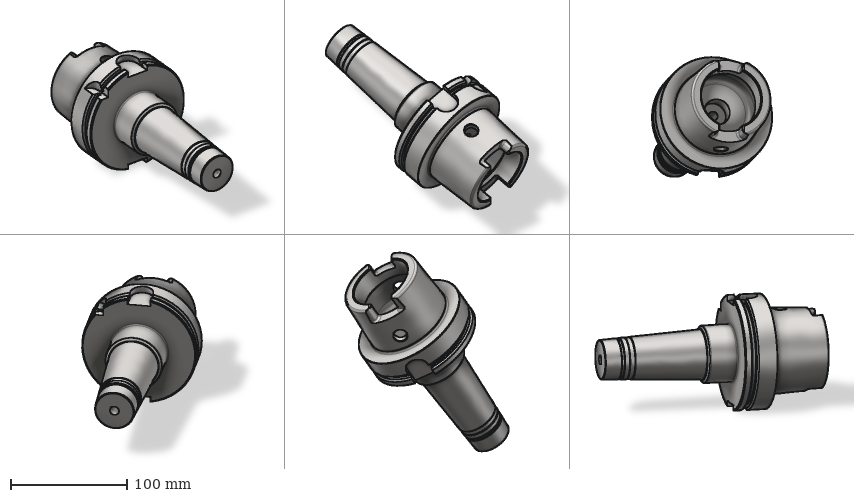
import cadquery as cq
import math


length = 195.0
flange_start = 50.1
flange_end = 79.0
collar_edge_start = 102.5
collar_end = 105.0
nose_start = 105.5

taper_base_radius = 37.8
taper_slope = 0.05
shank_edge_radius = 2.0
relief_start = 47.5
relief_radius = 37.5
relief_ramp = 0.5
relief_fillet_radius = 1.4

flange_radius = 100.0 / 2
front_rim_chamfer = 0.4
back_rim_chamfer = 1.0
groove_start = 66.7
groove_end = 73.1
groove_shoulder_radius = 48.2
groove_shoulder_start = 68.0
groove_shoulder_end = 71.8
groove_radius = 45.8
groove_floor_start = 68.5
groove_floor_end = 71.4

collar_radius = 50.0 / 2
collar_edge_radius = 1.5
collar_shoulder_radius = 22.2
collar_edge_angle = math.radians(40)
collar_root_radius = 1.0
nose_base_radius = 21.8
nose_slope = math.tan(math.radians(3))
nose_chamfer = 0.5
ring_groove_depth = 0.3
ring_groove_flank = 0.5
ring_grooves = [(168.0, 173.4), (177.5, 180.5)]

mouth_radius = 53.0 / 2
mouth_chamfer = 1.0
mouth_depth = 19.0
undercut_radius = 63.0 / 2
undercut_angle = math.radians(60)
undercut_end = 40.4
cavity_floor_radius = 50.0 / 2
cavity_fillet_radius = undercut_radius - cavity_floor_radius
cavity_depth = undercut_end + cavity_fillet_radius
coolant_diameter = 22.5
coolant_depth = 13.6
through_diameter = 8.0

radial_hole_diameter = 12.0
radial_hole_x = 35.0
radial_hole_chamfer = 0.4

slot_half_width = 20.0 / 2
slot_flare_radius = 4.9
slot_land_height = 32.0
slot_floor_radius = 2.0
slot_mouth_chamfer = 1.4
selection_margin = 0.2
upper_slot_depth = 10.1
lower_slot_depth = 14.8

keyway_radius = slot_half_width
keyway_centre_x = 65.0
keyway_floor = 43.9
notch_wall = 31.2
notch_floor = 31.2


def taper_radius(x):
    return taper_base_radius - taper_slope * (relief_start - x)


def nose_radius(x):
    return nose_base_radius - nose_slope * (x - nose_start)


def arc_bend(radius):
    """Distance from the midpoint of a quarter arc to each of its two tangent sides."""
    return radius * (1 - math.sqrt(0.5))


def revolve(profile):
    return profile.close().revolve(360, (0, 0, 0), (1, 0, 0))


def cylinder(diameter, start, end):
    return cq.Workplane("YZ", origin=(start, 0, 0)).circle(diameter / 2).extrude(end - start)


def make_shank():
    fillet_bend = arc_bend(relief_fillet_radius)
    profile = (
        cq.Workplane("XY")
        .lineTo(0, taper_radius(0))
        .lineTo(relief_start, taper_base_radius)
        .lineTo(relief_start + relief_ramp, relief_radius)
        .lineTo(flange_start - relief_fillet_radius, relief_radius)
        .threePointArc(
            (flange_start - fillet_bend, relief_radius + fillet_bend),
            (flange_start, relief_radius + relief_fillet_radius),
        )
        .lineTo(flange_start, 0)
    )
    return revolve(profile).faces("<X").edges().fillet(shank_edge_radius)


def make_flange():
    profile = (
        cq.Workplane("XY")
        .moveTo(flange_start, 0)
        .lineTo(flange_start, flange_radius - front_rim_chamfer)
        .lineTo(flange_start + front_rim_chamfer, flange_radius)
        .lineTo(groove_start, flange_radius)
        .lineTo(groove_shoulder_start, groove_shoulder_radius)
        .lineTo(groove_floor_start, groove_radius)
        .lineTo(groove_floor_end, groove_radius)
        .lineTo(groove_shoulder_end, groove_shoulder_radius)
        .lineTo(groove_end, flange_radius)
        .lineTo(flange_end - back_rim_chamfer, flange_radius)
        .lineTo(flange_end, flange_radius - back_rim_chamfer)
        .lineTo(flange_end, 0)
    )
    return revolve(profile)


def make_collar_and_nose():
    def edge_point(angle):
        return (
            collar_edge_start + collar_edge_radius * math.sin(angle),
            collar_radius - collar_edge_radius * (1 - math.cos(angle)),
        )

    root_bend = arc_bend(collar_root_radius)
    profile = (
        cq.Workplane("XY")
        .moveTo(flange_end, 0)
        .lineTo(flange_end, collar_radius + collar_root_radius)
        .threePointArc(
            (flange_end + root_bend, collar_radius + root_bend),
            (flange_end + collar_root_radius, collar_radius),
        )
        .lineTo(collar_edge_start, collar_radius)
        .threePointArc(edge_point(collar_edge_angle / 2), edge_point(collar_edge_angle))
        .lineTo(collar_end, collar_shoulder_radius)
        .lineTo(nose_start, nose_base_radius)
    )
    for start, end in ring_grooves:
        floor_start = start + ring_groove_flank
        floor_end = end - ring_groove_flank
        profile = (
            profile.lineTo(start, nose_radius(start))
            .lineTo(floor_start, nose_radius(floor_start) - ring_groove_depth)
            .lineTo(floor_end, nose_radius(floor_end) - ring_groove_depth)
            .lineTo(end, nose_radius(end))
        )
    profile = (
        profile.lineTo(length - nose_chamfer, nose_radius(length - nose_chamfer))
        .lineTo(length, nose_radius(length) - nose_chamfer)
        .lineTo(length, 0)
    )
    return revolve(profile)


def make_cavity():
    undercut_step = undercut_radius - mouth_radius
    undercut_start = mouth_depth + undercut_step / math.tan(undercut_angle)
    fillet_bend = arc_bend(cavity_fillet_radius)
    profile = (
        cq.Workplane("XY")
        .lineTo(0, mouth_radius + mouth_chamfer)
        .lineTo(mouth_chamfer, mouth_radius)
        .lineTo(mouth_depth, mouth_radius)
        .lineTo(undercut_start, undercut_radius)
        .lineTo(undercut_end, undercut_radius)
        .threePointArc(
            (cavity_depth - fillet_bend, undercut_radius - fillet_bend),
            (cavity_depth, cavity_floor_radius),
        )
        .lineTo(cavity_depth, 0)
    )
    coolant_hole = cylinder(coolant_diameter, cavity_depth, cavity_depth + coolant_depth)
    through_hole = cylinder(through_diameter, 0, length)
    return revolve(profile).union(coolant_hole).union(through_hole)


def make_radial_hole():
    """Hole through the +Z wall, with a cone that chamfers its rim in the shank surface."""
    hole_radius = radial_hole_diameter / 2
    bore = cq.Workplane("XY", origin=(radial_hole_x, 0, 0)).circle(hole_radius).extrude(flange_radius)
    rim_height = taper_radius(radial_hole_x)
    rim = (
        cq.Workplane("XY", origin=(radial_hole_x, 0, rim_height))
        .circle(hole_radius + radial_hole_chamfer)
        .workplane(offset=-2 * radial_hole_chamfer)
        .circle(hole_radius)
        .loft()
    )
    return bore.union(rim)


def make_drive_slot(depth):
    """Slot on the +Z side whose side walls round over outwards onto flat lands."""
    flare_start = slot_land_height - slot_flare_radius
    bend = arc_bend(slot_flare_radius)
    flare_y = slot_half_width + slot_flare_radius
    slot = (
        cq.Workplane("YZ")
        .moveTo(-slot_half_width, 0)
        .lineTo(-slot_half_width, flare_start)
        .threePointArc((-slot_half_width - bend, slot_land_height - bend), (-flare_y, slot_land_height))
        .lineTo(-flange_radius, slot_land_height)
        .lineTo(-flange_radius, flange_radius)
        .lineTo(flange_radius, flange_radius)
        .lineTo(flange_radius, slot_land_height)
        .lineTo(flare_y, slot_land_height)
        .threePointArc((slot_half_width + bend, slot_land_height - bend), (slot_half_width, flare_start))
        .lineTo(slot_half_width, 0)
        .close()
        .extrude(depth)
    )
    mouth_half_width = slot_half_width + slot_mouth_chamfer
    mouth = (
        cq.Workplane("XY")
        .polyline(
            [
                (0, -mouth_half_width),
                (slot_mouth_chamfer, -slot_half_width),
                (slot_mouth_chamfer, slot_half_width),
                (0, mouth_half_width),
            ]
        )
        .close()
        .extrude(slot_land_height)
    )
    inset = flange_radius - selection_margin
    floor_sides = cq.selectors.BoxSelector(
        (depth - selection_margin, -inset, selection_margin), (depth + selection_margin, inset, inset)
    )
    return slot.edges(floor_sides).fillet(slot_floor_radius).union(mouth)


def make_keyway(floor, centre_y):
    """Round-ended cutter path parallel to X, leaving through the nose side of the flange."""
    run = flange_end - keyway_centre_x
    plane = cq.Workplane("XY", origin=(keyway_centre_x, centre_y, floor))
    round_end = plane.circle(keyway_radius).extrude(flange_radius)
    straight = plane.center(run / 2, 0).rect(run, 2 * keyway_radius).extrude(flange_radius)
    return round_end.union(straight)


def half_turn(shape):
    return shape.rotate((0, 0, 0), (1, 0, 0), 180)


result = make_shank().union(make_flange()).union(make_collar_and_nose())
result = result.cut(make_cavity())

radial_hole = make_radial_hole()
result = result.cut(radial_hole).cut(half_turn(radial_hole))
result = result.cut(make_drive_slot(upper_slot_depth)).cut(half_turn(make_drive_slot(lower_slot_depth)))

keyway = make_keyway(keyway_floor, 0)
notch = make_keyway(notch_floor, -notch_wall - keyway_radius)
result = result.cut(keyway).cut(half_turn(keyway)).cut(notch)